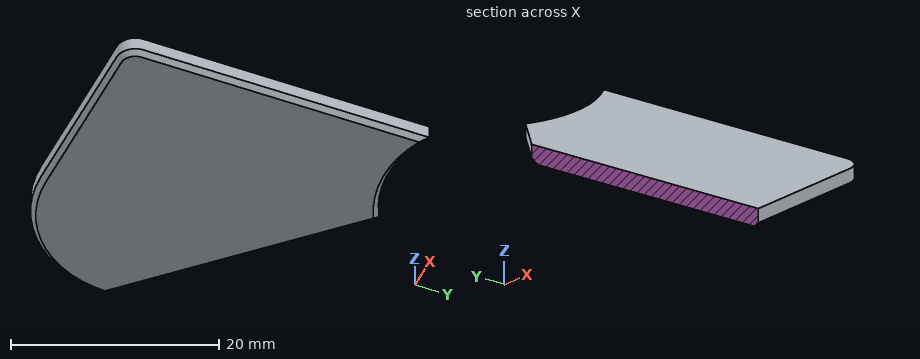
import cadquery as cq
import math

side = 32.0
thickness = 2.0
gauge_radius = 12.0
corner_radius = 2.0
chamfer_size = 0.5

end_start_x = side - gauge_radius
end_middle_x = (end_start_x + side) / 2
half_chord = (side - end_start_x) / 2
end_depth = gauge_radius - math.sqrt(gauge_radius**2 - half_chord**2)


def quarter_midpoint_offset(radius):
    """Distance from each tangent side to the middle of a quarter-round corner."""
    return radius * (1 - math.sqrt(0.5))


large_offset = quarter_midpoint_offset(gauge_radius)
small_offset = quarter_midpoint_offset(corner_radius)

plate = (
    cq.Workplane("XY")
    .moveTo(gauge_radius, 0)
    .lineTo(side - corner_radius, 0)
    .threePointArc((side - small_offset, small_offset), (side, corner_radius))
    .lineTo(side, side)
    .threePointArc((end_middle_x, side - end_depth), (end_start_x, side))
    .lineTo(0, gauge_radius)
    .threePointArc((large_offset, large_offset), (gauge_radius, 0))
    .close()
    .extrude(thickness)
)

result = plate.faces("<Z").edges().chamfer(chamfer_size)